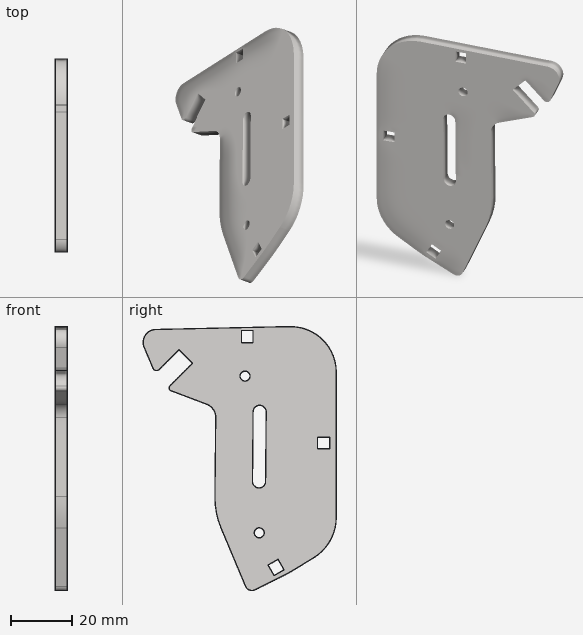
import cadquery as cq
import math

THICKNESS = 4.0
WIDTH = 63.28
HEIGHT = 86.46

TOP_LEFT_EDGE = ((0.0, HEIGHT), 0.0)
TOP_EDGE = ((16.3, HEIGHT), -1.25)
HOOK_OUTER_EDGE = ((61.65, 76.56), 67.1)
HOOK_SLOT_ANGLE = -45.0
HOOK_UNDERSIDE = ((48.32, 63.2), 20.7)
NECK_EDGE = ((39.67, 43.92), -89.4)
LOWER_EDGE = ((33.5, 10.29), 67.2)
BOTTOM_EDGE = ((20.8, 3.15), -26.5)
LOWER_LEFT_EDGE = ((11.58, 8.2), -31.5)
LONG_EDGE = ((0.0, 0.0), 90.0)

HOOK_SLOT_CORNER = (47.14, 74.42)
HOOK_SLOT_WIDTH = 6.2

TOP_CORNER_RADIUS = 15.0
TOP_BEND_RADIUS = 100.0
LOWER_LEFT_RADIUS = 15.6
HOOK_HEAD_RADIUS = 4.25
HOOK_UPPER_TIP_RADIUS = 1.3
HOOK_LOWER_TIP_RADIUS = 1.0
NECK_TOP_RADIUS = 4.5
NECK_BOTTOM_RADIUS = 26.0
BOTTOM_TIP_RADIUS = 2.3
BOTTOM_BEND_RADIUS = 60.0
SHARP = 0.0

HOLE_DIAMETER = 3.2
HOLE_CENTERS = [(29.91, 70.22), (25.26, 18.93)]

SLOT_WIDTH = 4.2
SLOT_TOP_CENTER = (25.12, 58.55)
SLOT_BOTTOM_CENTER = (25.32, 35.75)

WINDOW_WIDTH = 3.7
WINDOW_DEPTH = 3.9
WINDOWS = [
    ((29.16, 83.15), 0.0),
    ((4.2, 48.35), 90.0),
    ((19.75, 7.6), -30.0),
]


def crossing(edge_a, edge_b):
    """Point where two straight edges, each a point and an angle, meet."""
    (ax, ay), a_angle = edge_a
    (bx, by), b_angle = edge_b
    dax, day = math.cos(math.radians(a_angle)), math.sin(math.radians(a_angle))
    dbx, dby = math.cos(math.radians(b_angle)), math.sin(math.radians(b_angle))
    along = ((bx - ax) * dby - (by - ay) * dbx) / (dax * dby - day * dbx)
    return (ax + along * dax, ay + along * day)


def outline_corners():
    """Corners of the outline before rounding, each with its radius."""
    slot_direction = math.radians(HOOK_SLOT_ANGLE)
    slot_upper_corner = (
        HOOK_SLOT_CORNER[0] - HOOK_SLOT_WIDTH * math.sin(slot_direction),
        HOOK_SLOT_CORNER[1] + HOOK_SLOT_WIDTH * math.cos(slot_direction),
    )
    slot_upper_edge = (slot_upper_corner, HOOK_SLOT_ANGLE)
    slot_lower_edge = (HOOK_SLOT_CORNER, HOOK_SLOT_ANGLE)
    return [
        (crossing(LONG_EDGE, TOP_LEFT_EDGE), TOP_CORNER_RADIUS),
        (crossing(TOP_LEFT_EDGE, TOP_EDGE), TOP_BEND_RADIUS),
        (crossing(TOP_EDGE, HOOK_OUTER_EDGE), HOOK_HEAD_RADIUS),
        (crossing(HOOK_OUTER_EDGE, slot_upper_edge), HOOK_UPPER_TIP_RADIUS),
        (slot_upper_corner, SHARP),
        (HOOK_SLOT_CORNER, SHARP),
        (crossing(slot_lower_edge, HOOK_UNDERSIDE), HOOK_LOWER_TIP_RADIUS),
        (crossing(HOOK_UNDERSIDE, NECK_EDGE), NECK_TOP_RADIUS),
        (crossing(NECK_EDGE, LOWER_EDGE), NECK_BOTTOM_RADIUS),
        (crossing(LOWER_EDGE, BOTTOM_EDGE), BOTTOM_TIP_RADIUS),
        (crossing(BOTTOM_EDGE, LOWER_LEFT_EDGE), BOTTOM_BEND_RADIUS),
        (crossing(LOWER_LEFT_EDGE, LONG_EDGE), LOWER_LEFT_RADIUS),
    ]


def to_plate(point):
    """Turn an (across, up) point into (Y, Z), centered on the plate."""
    across, up = point
    return (WIDTH / 2 - across, up - HEIGHT / 2)


def rounded_corner(previous, corner, following, radius):
    """Start, middle and end of the arc that rounds a corner."""
    p, c, f = cq.Vector(*previous), cq.Vector(*corner), cq.Vector(*following)
    toward_previous = (p - c).normalized()
    toward_following = (f - c).normalized()
    half_angle = toward_previous.getAngle(toward_following) / 2
    setback = radius / math.tan(half_angle)
    bisector = (toward_previous + toward_following).normalized()
    middle_distance = radius / math.sin(half_angle) - radius
    arc = (c + toward_previous * setback, c + bisector * middle_distance, c + toward_following * setback)
    return [(v.x, v.y) for v in arc]


def plate():
    corners = outline_corners()
    points = [to_plate(corner) for corner, _ in corners]
    sketch = None
    for i, (_, radius) in enumerate(corners):
        following = points[(i + 1) % len(points)]
        start, middle, end = rounded_corner(points[i - 1], points[i], following, radius)
        if sketch is None:
            sketch = cq.Workplane("YZ").moveTo(*start)
        else:
            sketch = sketch.lineTo(*start)
        if radius > SHARP:
            sketch = sketch.threePointArc(middle, end)
    return sketch.close().extrude(THICKNESS / 2, both=True)


def round_holes():
    centers = [to_plate(center) for center in HOLE_CENTERS]
    return cq.Workplane("YZ").pushPoints(centers).circle(HOLE_DIAMETER / 2).extrude(THICKNESS, both=True)


def long_slot():
    top = cq.Vector(*to_plate(SLOT_TOP_CENTER))
    bottom = cq.Vector(*to_plate(SLOT_BOTTOM_CENTER))
    middle = (top + bottom) / 2
    run = top - bottom
    lean = math.degrees(math.atan2(run.y, run.x))
    sketch = cq.Workplane("YZ").center(middle.x, middle.y)
    return sketch.slot2D(run.Length + SLOT_WIDTH, SLOT_WIDTH, lean).extrude(THICKNESS, both=True)


def tab_window(center, angle):
    window = cq.Workplane("YZ").rect(WINDOW_WIDTH, WINDOW_DEPTH).extrude(THICKNESS, both=True)
    y, z = to_plate(center)
    return window.rotate((0, 0, 0), (1, 0, 0), -angle).translate((0, y, z))


result = plate().cut(round_holes()).cut(long_slot())
for window_center, window_angle in WINDOWS:
    result = result.cut(tab_window(window_center, window_angle))